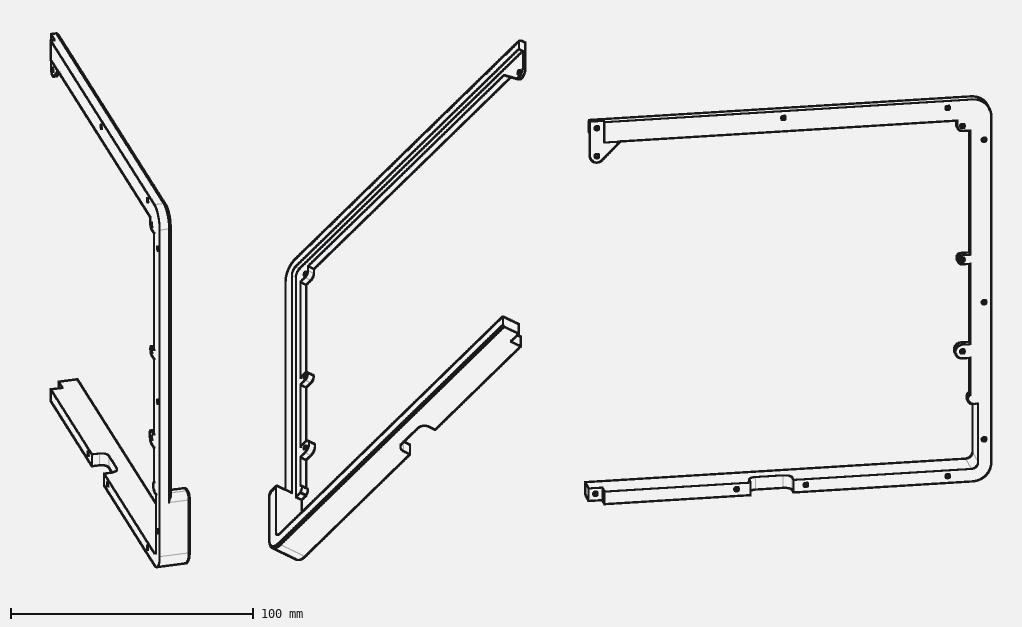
import cadquery as cq
import math

length = 167.7
height = 166.9
depth = 13.0
rail_depth = 5.0
wall = 5.5
inner_radius = 2.9
corner_radius = 7.9
tray_chamfer = 0.7
rail_chamfer = 1.0
tray_shoulder_radius = 2.9
tray_top = 35.2

flange_depth = 3.0
top_flange_width = 8.9
side_flange_width = 8.7
flange_top = height - top_flange_width
flange_inner = length - side_flange_width

end_length = 5.7
top_end_recess = 1.7
bottom_end_recess = 5.0
tag_radius = end_length / 2
tag_center_z = 151.6

lug_x = 155.7
small_lug_radius = 2.0
large_lug_radius = 3.0
small_lug_z = 97.1
large_lug_z = 57.0
corner_lug_radius = 2.2
corner_lug_z = 155.5
end_lug_x = 160.0
end_lug_z = 36.0
end_lug_radius = 2.2

notch_left = 67.0
notch_right = 84.9
notch_depth = 6.4
notch_radius = 3.2

hole_diameter = 1.8
hole_depth = 2.5
hole_inset = 3.0


def box(x0, x1, y0, y1, z0, z1):
    return cq.Workplane("XY").box(x1 - x0, y1 - y0, z1 - z0, centered=False).translate((x0, y0, z0))


def cylinder(x, z, radius, y0, y1):
    """Round bar along Y."""
    return cq.Workplane("XZ", origin=(x, y0, z)).circle(radius).extrude(y0 - y1)


def outer_block(block_depth, back_chamfer):
    """Solid outline with round right corners and a chamfered back edge."""
    block = box(0, length, 0, block_depth, 0, height).edges("|Y and >X").fillet(corner_radius)
    return block.faces(">Y").edges("not <X").chamfer(back_chamfer)


def perimeter_wall():
    """C-shaped wall, deep around the tray and shallow above it."""
    opening = box(-wall, length - wall, 0, depth, wall, height - wall)
    opening = opening.edges("|Y and >X").fillet(inner_radius)
    tray_limit = box(0, length, 0, depth, 0, tray_top)
    tray_limit = tray_limit.edges(">X and >Z").fillet(tray_shoulder_radius)
    tray_limit = tray_limit.faces(">Y").edges(">Z").chamfer(tray_chamfer)
    tray = outer_block(depth, tray_chamfer).intersect(tray_limit)
    rail_limit = box(0, length, 0, rail_depth, tray_top - 2 * tray_shoulder_radius, height)
    rails = outer_block(rail_depth, rail_chamfer).intersect(rail_limit)
    return tray.union(rails).cut(opening)


def flange():
    """Flange strips stay inside the middle of the perimeter wall."""
    overlap = wall / 2
    top = box(0, length - overlap, 0, flange_depth, flange_top, height - overlap)
    side_bottom = end_lug_z - end_lug_radius
    side = box(flange_inner, length - overlap, 0, flange_depth, side_bottom, height - overlap)
    return top.union(side)


def lug(z, radius):
    tip = cylinder(lug_x, z, radius, 0, flange_depth)
    return tip.union(box(lug_x, flange_inner, 0, flange_depth, z - radius, z + radius))


def corner_lug():
    left = lug_x - corner_lug_radius
    web = box(left, flange_inner, 0, flange_depth, corner_lug_z, flange_top)
    return lug(corner_lug_z, corner_lug_radius).union(web)


def tag():
    """Hanging tab with a round tip and a 45 degree brace up to the top rail."""
    tangent = tag_radius * math.sqrt(0.5)
    tangent_x = tag_radius + tangent
    tangent_z = tag_center_z - tangent
    brace_x = tangent_x + flange_top - tangent_z
    return (
        cq.Workplane("XZ", origin=(0, top_end_recess, 0))
        .moveTo(0, flange_top)
        .lineTo(0, tag_center_z)
        .threePointArc((tag_radius, tag_center_z - tag_radius), (tangent_x, tangent_z))
        .lineTo(brace_x, flange_top)
        .close()
        .extrude(top_end_recess - flange_depth)
    )


frame = perimeter_wall().union(flange()).union(corner_lug()).union(tag())
frame = frame.union(lug(small_lug_z, small_lug_radius)).union(lug(large_lug_z, large_lug_radius))
frame = frame.union(cylinder(end_lug_x, end_lug_z, end_lug_radius, 0, flange_depth))

frame = frame.cut(box(0, end_length, 0, top_end_recess, flange_top, height))
frame = frame.cut(box(0, end_length, 0, bottom_end_recess, 0, wall))
notch = box(notch_left, notch_right, 0, notch_depth, 0, wall)
frame = frame.cut(notch.edges("|Z and >Y").fillet(notch_radius))

rail_hole_x = 149.5
top_hole_z = height - hole_inset
side_hole_x = length - hole_inset
blind_holes = [
    (tag_radius, top_hole_z, top_end_recess),
    (80.7, top_hole_z, 0),
    (rail_hole_x, top_hole_z, 0),
    (side_hole_x, 149.0, 0),
    (side_hole_x, 78.0, 0),
    (side_hole_x, 18.1, 0),
    (rail_hole_x, hole_inset, 0),
    (90.0, hole_inset, 0),
    (61.0, hole_inset, 0),
    (tag_radius, hole_inset, bottom_end_recess),
]
for x, z, start in blind_holes:
    frame = frame.cut(cylinder(x, z, hole_diameter / 2, start, start + hole_depth))

through_holes = [
    (tag_radius, tag_center_z),
    (lug_x, corner_lug_z),
    (lug_x, small_lug_z),
    (lug_x, large_lug_z),
]
for x, z in through_holes:
    frame = frame.cut(cylinder(x, z, hole_diameter / 2, 0, flange_depth))

result = frame